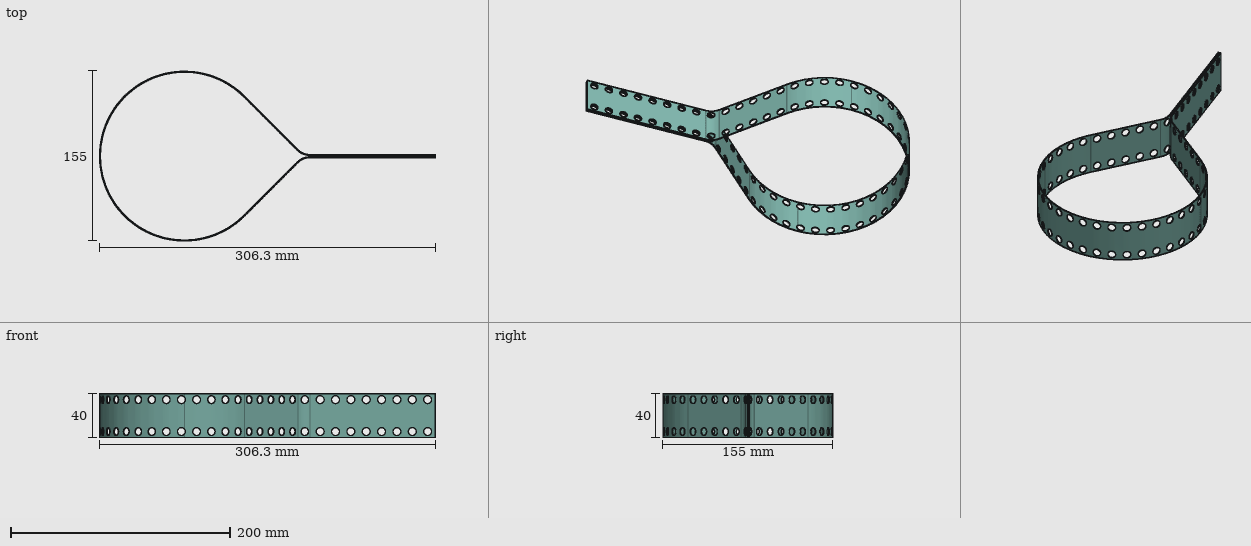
import cadquery as cq
import math

overall_length = 306.3
loop_diameter = 155.0
strip_width = 40.0
strip_thickness = 1.0
tail_gap = 1.0
flank_angle = 45.0
throat_radius = 15.5

hole_diameter = 7.0
hole_edge_distance = 5.5
holes_per_half = 27
cutter_clearance = 0.5

loop_radius = loop_diameter / 2
flank = math.radians(flank_angle)
tail_end_x = overall_length - loop_radius
tail_face_y = strip_thickness + tail_gap / 2
flank_start_x = loop_radius * math.sin(flank)
flank_start_y = loop_radius * math.cos(flank)
throat_center_y = tail_face_y + throat_radius
flank_end_y = throat_center_y - throat_radius * math.cos(flank)
flank_end_x = flank_start_x + (flank_start_y - flank_end_y) / math.tan(flank)
throat_center_x = flank_end_x + throat_radius * math.sin(flank)

loop_sweep = math.pi / 2 + flank
loop_length = loop_radius * loop_sweep
flank_length = (flank_start_y - flank_end_y) / math.sin(flank)
throat_length = throat_radius * flank
tail_length = tail_end_x - throat_center_x
half_length = loop_length + flank_length + throat_length + tail_length

hole_pitch = half_length / holes_per_half


def half_outline(inset, side):
    """Points of one half, inset from the outer face; side is 1 for the +Y half, -1 for the -Y half."""
    radius = loop_radius - inset
    bend = throat_radius + inset

    def on_loop(angle):
        return radius * math.sin(angle), side * radius * math.cos(angle)

    def on_throat(slope):
        return throat_center_x - bend * math.sin(slope), side * (throat_center_y - bend * math.cos(slope))

    return {
        "loop_side": on_loop(0),
        "loop_middle": on_loop(flank / 2),
        "flank_start": on_loop(flank),
        "flank_end": on_throat(flank),
        "throat_middle": on_throat(flank / 2),
        "tail_start": on_throat(0),
        "tail_end": (tail_end_x, side * (tail_face_y - inset)),
    }


def trace_face(profile, inset, side):
    """Draw one strip face from a tail end, round the loop and back to the other tail end."""
    near = half_outline(inset, side)
    far = half_outline(inset, -side)
    return (
        profile.lineTo(*near["tail_end"])
        .lineTo(*near["tail_start"])
        .threePointArc(near["throat_middle"], near["flank_end"])
        .lineTo(*near["flank_start"])
        .threePointArc(near["loop_middle"], near["loop_side"])
        .threePointArc((inset - loop_radius, 0), far["loop_side"])
        .threePointArc(far["loop_middle"], far["flank_start"])
        .lineTo(*far["flank_end"])
        .threePointArc(far["throat_middle"], far["tail_start"])
        .lineTo(*far["tail_end"])
    )


def make_strip():
    profile = cq.Workplane("XY").moveTo(tail_end_x, tail_gap / 2)
    profile = trace_face(profile, 0, 1)
    profile = trace_face(profile, strip_thickness, -1)
    return profile.close().extrude(strip_width, clean=False)


def outer_face_at(distance):
    """Position on the outer face and direction angle of its outward normal."""
    if distance <= loop_length:
        normal = math.pi - distance / loop_radius
        return loop_radius * math.cos(normal), loop_radius * math.sin(normal), normal
    distance -= loop_length
    if distance <= flank_length:
        x = flank_start_x + distance * math.cos(flank)
        y = flank_start_y - distance * math.sin(flank)
        return x, y, math.pi / 2 - flank
    distance -= flank_length
    if distance <= throat_length:
        slope = flank - distance / throat_radius
        x = throat_center_x - throat_radius * math.sin(slope)
        y = throat_center_y - throat_radius * math.cos(slope)
        return x, y, math.pi / 2 - slope
    distance -= throat_length
    return throat_center_x + distance, tail_face_y, math.pi / 2


def make_hole_cutters():
    cutters = []
    depth = strip_thickness + 2 * cutter_clearance
    for index in range(holes_per_half):
        x, y, normal = outer_face_at((index + 0.5) * hole_pitch)
        for side in (1, -1):
            outward = cq.Vector(math.cos(normal), side * math.sin(normal), 0)
            for z in (hole_edge_distance, strip_width - hole_edge_distance):
                start = cq.Vector(x, side * y, z) + outward * cutter_clearance
                cutters.append(cq.Solid.makeCylinder(hole_diameter / 2, depth, start, -outward))
    return cutters


result = make_strip().val().cut(*make_hole_cutters())